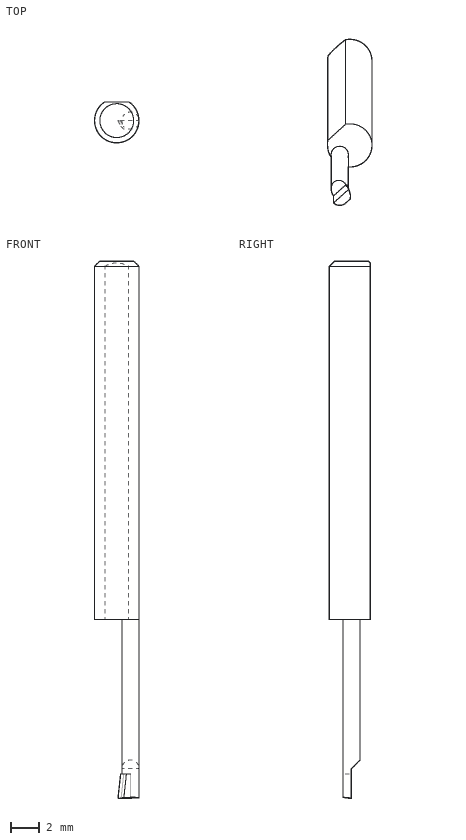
import cadquery as cq

total_length = 38.1

shank_diameter = 3.15
shank_radius = shank_diameter / 2
flat_y = 1.35
shank_start = 12.7
shank_chamfer = 0.4

neck_radius = 0.6
neck_x = shank_radius - neck_radius
flat_end = 2.15

head_height = 1.75
tip_x = 0.08
nose_x = 0.15
back_taper = 0.2
flank_x = 0.3
flank_y = -0.42
heel_x = 0.5
end_relief_x = 2.0
nose_angle = 40.0
end_relief_y = 7.0


def make_shank():
    shank = (
        cq.Workplane("XY", origin=(0, 0, shank_start))
        .circle(shank_radius)
        .extrude(total_length - shank_start)
        .faces(">Z")
        .chamfer(shank_chamfer)
    )
    flat_cutter = (
        cq.Workplane("XY")
        .box(shank_diameter, shank_diameter, total_length, centered=(True, False, False))
        .translate((0, flat_y, 0))
    )
    return shank.cut(flat_cutter)


def make_neck():
    neck = cq.Workplane("XY").center(neck_x, 0).circle(neck_radius).extrude(shank_start)
    halving_cutter = (
        cq.Workplane("YZ")
        .polyline([
            (0, 0),
            (0, flat_end),
            (neck_radius, flat_end + neck_radius),
            (neck_radius, 0),
        ])
        .close()
        .extrude(shank_diameter)
    )
    return neck.cut(halving_cutter)


def head_outline(lean):
    return [
        (neck_x, 0),
        (tip_x + lean, 0),
        (flank_x + lean, flank_y),
        (heel_x + lean, -neck_radius),
        (neck_x, -neck_radius),
    ]


def make_head():
    return (
        cq.Workplane("XY")
        .polyline(head_outline(0))
        .close()
        .workplane(offset=head_height)
        .polyline(head_outline(back_taper))
        .close()
        .loft(ruled=True)
    )


def make_end_relief(x_tilt):
    cutter_size = 4 * shank_diameter
    return (
        cq.Workplane("XY")
        .box(cutter_size, cutter_size, cutter_size)
        .translate((0, 0, -cutter_size / 2))
        .rotate((0, 0, 0), (1, 0, 0), -end_relief_y)
        .rotate((0, 0, 0), (0, 1, 0), x_tilt)
        .translate((nose_x, 0, 0))
    )


tool_end = make_neck().union(make_head())
for x_tilt in (-end_relief_x, nose_angle):
    tool_end = tool_end.cut(make_end_relief(x_tilt))
result = make_shank().union(tool_end)